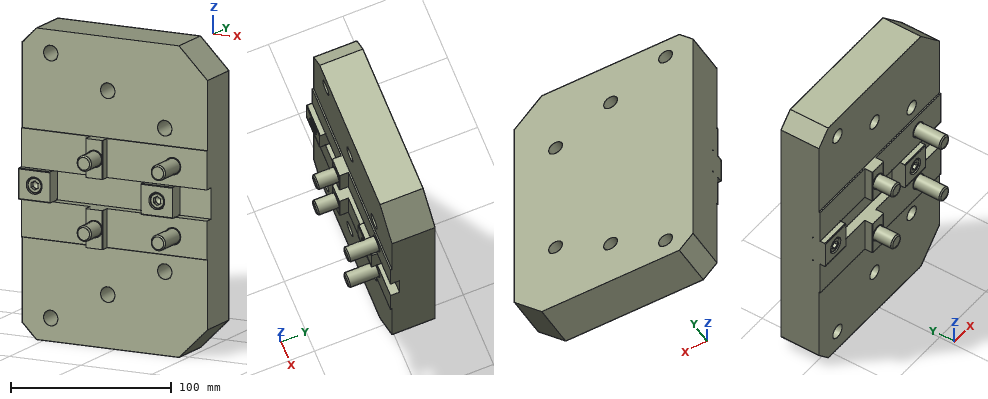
import cadquery as cq

WIDTH = 130.0
HEIGHT = 200.0
LEFT_CHAMFER = 10.0
RIGHT_CHAMFER = 20.0

PLATE_DEPTH = 29.0
BAND_DEPTH = 30.0
GROOVE_FLOOR_DEPTH = 24.0
KEY_DEPTH = 34.0
BAR_DEPTH = 36.0
PIN_DEPTH = 50.0

BAND_HEIGHT = 70.0
GROOVE_HEIGHT = 20.0

PLATE_HOLE_DIAMETER = 10.0
PLATE_HOLES = [(20.0, 85.0), (60.0, 65.5), (100.0, 46.0)]

KEY_LENGTH = 22.0
KEY_STARTS = [0.0, 86.0]
KEY_CHAMFER = 0.5
COUNTERBORE_DIAMETER = 11.0
COUNTERBORE_DEPTH = 6.0
SCREW_HEAD_DIAMETER = 10.0
SCREW_HEAD_RECESS = 0.5
SCREW_HEAD_CHAMFER = 0.5
SOCKET_ACROSS_FLATS = 5.0
SOCKET_DEPTH = 2.5
SOCKET_TIP_DEPTH = 1.5

BAR_WIDTH = 12.0
BAR_CHAMFER = 0.5
BAR_CENTER_X = 54.0
FREE_PIN_X = 106.0
PIN_DIAMETER = 10.0
PIN_CHAMFER = 0.9
PIN_GAP_DIAMETER = 11.0
PIN_GAP_DEPTH = 0.5
PIN_Z = (BAND_HEIGHT + GROOVE_HEIGHT) / 4


def block(x_start, length, z_center, height, back, front):
    """Box between two distances from the back face."""
    return (
        cq.Workplane("XY")
        .box(length, front - back, height, centered=(False, False, True))
        .translate((x_start, -front, z_center))
    )


def rod(x, z, diameter, back, front):
    """Cylinder along Y between two distances from the back face."""
    return (
        cq.Workplane("XZ", origin=(x, -back, z))
        .circle(diameter / 2)
        .extrude(front - back)
    )


def make_plate():
    plate = block(0, WIDTH, 0, HEIGHT, 0, PLATE_DEPTH)
    plate = plate.edges("|Y and <X").chamfer(LEFT_CHAMFER)
    plate = plate.edges("|Y and >X").chamfer(RIGHT_CHAMFER)
    band = block(0, WIDTH, 0, BAND_HEIGHT, 0, BAND_DEPTH)
    groove = block(0, WIDTH, 0, GROOVE_HEIGHT, GROOVE_FLOOR_DEPTH, BAND_DEPTH)
    plate = plate.union(band).cut(groove)
    for x, z in PLATE_HOLES:
        for side in (1, -1):
            plate = plate.cut(rod(x, side * z, PLATE_HOLE_DIAMETER, 0, PLATE_DEPTH))
    return plate


def make_key(x_start):
    key = block(x_start, KEY_LENGTH, 0, GROOVE_HEIGHT, GROOVE_FLOOR_DEPTH, KEY_DEPTH)
    key = key.edges("|X").chamfer(KEY_CHAMFER)
    x_center = x_start + KEY_LENGTH / 2
    bore_floor = KEY_DEPTH - COUNTERBORE_DEPTH
    head_face = KEY_DEPTH - SCREW_HEAD_RECESS
    key = key.cut(rod(x_center, 0, COUNTERBORE_DIAMETER, bore_floor, KEY_DEPTH))
    head = rod(x_center, 0, SCREW_HEAD_DIAMETER, bore_floor, head_face)
    head = head.faces("<Y").chamfer(SCREW_HEAD_CHAMFER)
    socket = (
        cq.Workplane("XZ", origin=(x_center, -head_face, 0))
        .polygon(6, SOCKET_ACROSS_FLATS, circumscribed=True)
        .extrude(-SOCKET_DEPTH)
    )
    tip = cq.Workplane(
        cq.Solid.makeCone(
            SOCKET_ACROSS_FLATS / 2,
            0,
            SOCKET_TIP_DEPTH,
            pnt=cq.Vector(x_center, SOCKET_DEPTH - head_face, 0),
            dir=cq.Vector(0, 1, 0),
        )
    )
    return key.union(head.cut(socket).cut(tip))


def make_bar(z_center):
    height = (BAND_HEIGHT - GROOVE_HEIGHT) / 2
    x_start = BAR_CENTER_X - BAR_WIDTH / 2
    bar = block(x_start, BAR_WIDTH, z_center, height, BAND_DEPTH, BAR_DEPTH)
    return bar.edges("<Y and |Z").chamfer(BAR_CHAMFER)


def make_pin(x, z):
    pin = rod(x, z, PIN_DIAMETER, GROOVE_FLOOR_DEPTH, PIN_DEPTH)
    return pin.faces("<Y").chamfer(PIN_CHAMFER)


def add_pin(body, x, z, seat_depth):
    """Open a shallow ring around the pin in its seat face, then add the pin."""
    gap = rod(x, z, PIN_GAP_DIAMETER, seat_depth - PIN_GAP_DEPTH, seat_depth)
    return body.cut(gap).union(make_pin(x, z))


result = make_plate()
for key_start in KEY_STARTS:
    result = result.union(make_key(key_start))
for pin_z in (PIN_Z, -PIN_Z):
    result = result.union(make_bar(pin_z))
    result = add_pin(result, BAR_CENTER_X, pin_z, BAR_DEPTH)
    result = add_pin(result, FREE_PIN_X, pin_z, BAND_DEPTH)